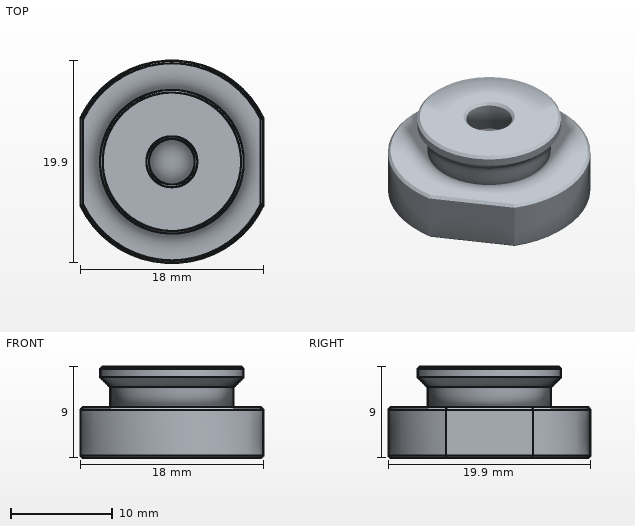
import cadquery as cq

base_diameter = 19.93
width_across_flats = 18.0
base_height = 5.0

neck_diameter = 12.15
neck_height = 2.0
head_diameter = 14.15
total_height = 9.0
flare_height = (head_diameter - neck_diameter) / 2
edge_chamfer = 0.25

hole_diameter = 4.5
hole_depth = 3.0
hole_chamfer = 0.25


def make_base():
    disc = cq.Workplane("XY").circle(base_diameter / 2).extrude(base_height)
    flats = cq.Workplane("XY").box(
        width_across_flats, base_diameter, base_height, centered=(True, True, False)
    )
    return disc.intersect(flats).faces("<Z or >Z").chamfer(edge_chamfer)


def make_neck_and_head():
    neck_radius = neck_diameter / 2
    head_radius = head_diameter / 2
    flare_bottom = base_height + neck_height
    profile = (
        cq.Workplane("XZ")
        .moveTo(0, base_height)
        .lineTo(neck_radius, base_height)
        .lineTo(neck_radius, flare_bottom)
        .lineTo(head_radius, flare_bottom + flare_height)
        .lineTo(head_radius, total_height)
        .lineTo(0, total_height)
        .close()
    )
    head = profile.revolve(360, (0, 0, 0), (0, 1, 0))
    return head.faces(">Z").chamfer(edge_chamfer)


body = make_base().union(make_neck_and_head())
result = (
    body.faces(">Z")
    .workplane(origin=(0, 0, total_height))
    .hole(hole_diameter, hole_depth)
    .faces(">Z")
    .edges("%CIRCLE")
    .edges(cq.selectors.RadiusNthSelector(0))
    .chamfer(hole_chamfer)
)